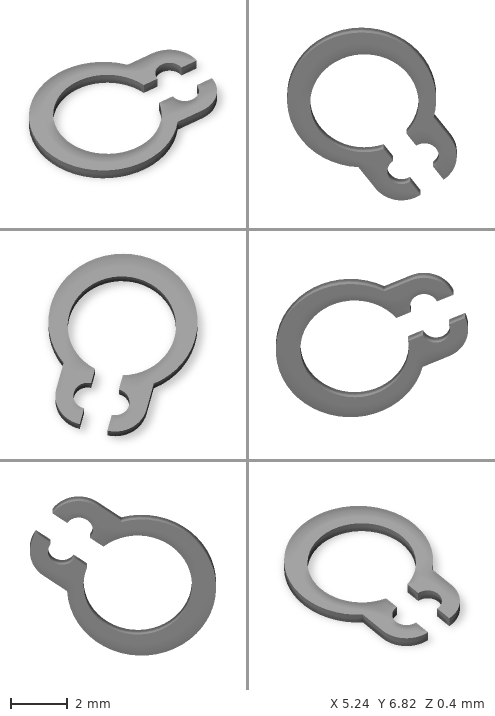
import cadquery as cq

thickness = 0.4
bore_radius = 1.9
rim_radius = 2.62
rim_offset = 0.165
gap_width = 1.0

lug_radius = 1.13
hole_radius = 0.5
overall_length = 6.82

hole_x = gap_width / 2
lug_top = overall_length - rim_radius - rim_offset
hole_y = lug_top - lug_radius


def disc(radius, x, y):
    return cq.Workplane("XY").center(x, y).circle(radius).extrude(thickness)


def block(width, y_start, y_end):
    return (
        cq.Workplane("XY")
        .center(0, (y_start + y_end) / 2)
        .rect(width, y_end - y_start)
        .extrude(thickness)
    )


lug_span = 2 * (hole_x + lug_radius)
body = disc(rim_radius, 0, -rim_offset).union(block(lug_span, 0, hole_y))
for side in (-1, 1):
    body = body.union(disc(lug_radius, side * hole_x, hole_y))

body = body.cut(disc(bore_radius, 0, 0))
body = body.cut(block(gap_width, 0, lug_top))
for side in (-1, 1):
    body = body.cut(disc(hole_radius, side * hole_x, hole_y))

result = body